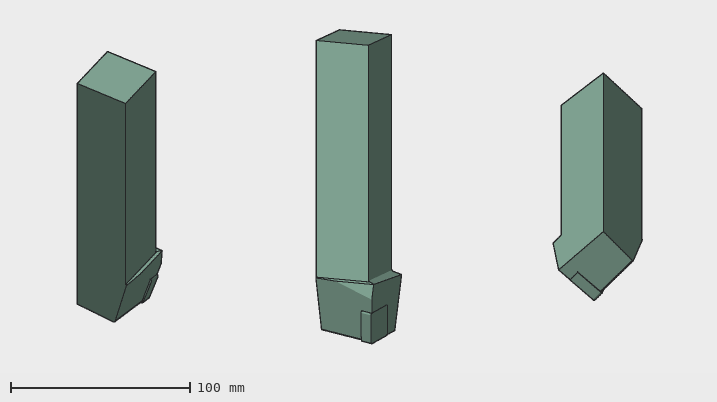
import cadquery as cq
import math

total_height = 171.4
shank_size = 31.9

head_width = 33.5
head_depth = 38.0
ledge_z = 35.0
ledge_angle = 15.0
ledge_fillet = 1.5
side_ledge_z = 35.5
side_ledge_rise = 0.9
head_overrun = 8.5

rake_slope_x = 0.066
rake_slope_z = 0.13
rake_direction = cq.Vector(rake_slope_x, 1, -rake_slope_z)

flank_corner_x = 24.7
flank_corner_z = 4.6
flank_angle = 14.0
end_angle = 5.0
corner_chamfer = 0.7
cut_reach = 51.4

insert_edge = 19.4
insert_angle = 100.0
insert_thickness = 6.3
insert_corner_radius = 1.2
tip_x = 27.5
tip_z = -0.09


def rake_y(x, z):
    """Y of the rake face at the given X and Z."""
    return head_depth - rake_slope_x * x - rake_slope_z * (ledge_z - z)


def make_blank():
    """Shank with the enlarged head, before the end is cut."""
    shank = cq.Workplane("XY").box(shank_size, shank_size, total_height, centered=False)
    ledge_rise = (head_depth - shank_size) * math.tan(math.radians(ledge_angle))
    bottom_depth = rake_y(0, -head_overrun)
    head = (
        cq.Workplane("YZ")
        .moveTo(0, -head_overrun)
        .lineTo(bottom_depth, -head_overrun)
        .lineTo(head_depth, ledge_z)
        .lineTo(shank_size, ledge_z + ledge_rise)
        .lineTo(0, ledge_z + ledge_rise)
        .close()
        .extrude(head_width)
    )
    side_outline = (
        cq.Workplane("XZ")
        .moveTo(0, -head_overrun)
        .lineTo(head_width, -head_overrun)
        .lineTo(head_width, side_ledge_z)
        .lineTo(shank_size, side_ledge_z + side_ledge_rise)
        .lineTo(shank_size, total_height)
        .lineTo(0, total_height)
        .close()
        .extrude(-head_depth)
    )
    blank = shank.union(head).intersect(side_outline)
    middle = shank_size / 2
    root_z = ledge_z + ledge_rise
    root_edge = cq.selectors.NearestToPointSelector((middle, shank_size, root_z))
    return blank.edges("|X").edges(root_edge).fillet(ledge_fillet)


def make_end_envelope():
    """Prism along the rake direction, bounded by the end flank and the side flank."""
    run = cut_reach * math.tan(math.radians(end_angle))
    climb = total_height * math.tan(math.radians(flank_angle))
    end_cut_x = flank_corner_x - corner_chamfer
    end_cut_z = flank_corner_z + corner_chamfer * math.tan(math.radians(end_angle))
    side_cut_x = flank_corner_x + corner_chamfer * math.tan(math.radians(flank_angle))
    side_cut_z = flank_corner_z + corner_chamfer
    outline = [
        (end_cut_x, 0, end_cut_z),
        (side_cut_x, 0, side_cut_z),
        (flank_corner_x + climb, 0, flank_corner_z + total_height),
        (flank_corner_x - cut_reach, 0, flank_corner_z + total_height),
        (flank_corner_x - cut_reach, 0, flank_corner_z + run),
    ]
    wire = cq.Wire.makePolygon([cq.Vector(*point) for point in outline], close=True)
    prism = cq.Solid.extrudeLinear(wire, [], rake_direction * cut_reach)
    upper = cq.Solid.makeBox(
        shank_size, shank_size, total_height, cq.Vector(0, 0, side_ledge_z)
    )
    return cq.Workplane(prism).union(cq.Workplane(upper))


def make_rake_cutter():
    """Block above the rake face of the head."""
    plane = cq.Plane(
        origin=(0, head_depth, ledge_z), xDir=(1, -rake_slope_x, 0), normal=rake_direction.toTuple()
    )
    block = cq.Workplane(plane).rect(2 * total_height, 2 * total_height).extrude(cut_reach)
    below_ledge = cq.Workplane("XY").box(
        total_height, total_height, total_height, centered=(True, True, False)
    ).translate((0, 0, side_ledge_z + side_ledge_rise - total_height))
    return block.intersect(below_ledge)


def make_insert():
    """Rhombic plate with rounded corners, its sides square to the rake face."""
    slope = math.tan(math.radians(end_angle))
    edge_direction = (-1, rake_slope_x + rake_slope_z * slope, slope)
    plane = cq.Plane(
        origin=(tip_x, rake_y(tip_x, tip_z), tip_z),
        xDir=edge_direction,
        normal=rake_direction.toTuple(),
    )
    lean = insert_edge * math.cos(math.radians(insert_angle))
    rise = insert_edge * math.sin(math.radians(insert_angle))
    return (
        cq.Workplane(plane)
        .polyline([(0, 0), (insert_edge, 0), (insert_edge + lean, rise), (lean, rise)])
        .close()
        .extrude(-insert_thickness)
        .edges(cq.selectors.ParallelDirSelector(rake_direction))
        .fillet(insert_corner_radius)
    )


insert = make_insert()
holder = make_blank().intersect(make_end_envelope()).cut(make_rake_cutter()).cut(insert)

result = cq.Compound.makeCompound([holder.val(), insert.val()])